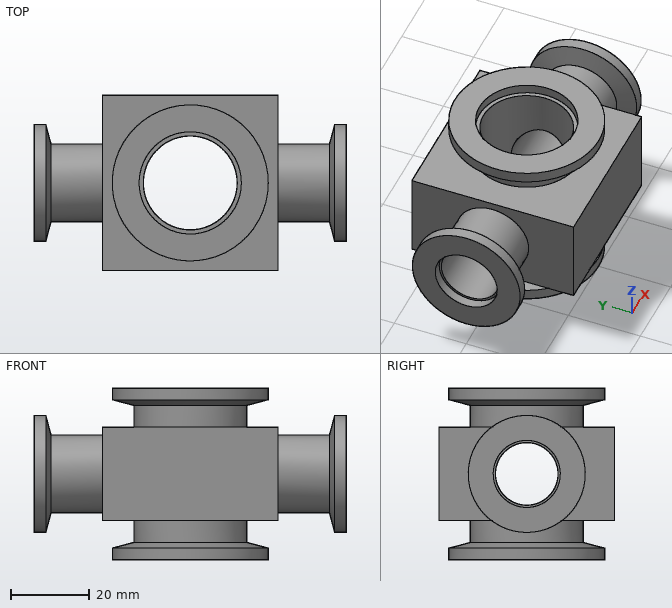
import cadquery as cq
import math

BLOCK_SIDE = 45.0
BLOCK_HEIGHT = 24.0

SPAN_X = 80.0
SPAN_Z = 44.0

RIM_THICKNESS = 3.0
RECESS_DEPTH = 2.6
TAPER_ANGLE = 15.0

LARGE_FLANGE_DIAMETER = 40.0
LARGE_NECK_DIAMETER = 29.0
LARGE_BORE_DIAMETER = 24.0
LARGE_RECESS_DIAMETER = 26.2

SMALL_FLANGE_DIAMETER = 30.0
SMALL_NECK_DIAMETER = 20.0
SMALL_BORE_DIAMETER = 16.0
SMALL_RECESS_DIAMETER = 17.2


def flanged_pipe(span, flange_diameter, neck_diameter):
    """Solid pipe along Z, centred on the origin, with a tapered flange at each end."""
    flange_radius = flange_diameter / 2
    neck_radius = neck_diameter / 2
    face = span / 2
    rim_back = face - RIM_THICKNESS
    taper_end = rim_back - (flange_radius - neck_radius) * math.tan(math.radians(TAPER_ANGLE))
    half_profile = [
        (0, 0),
        (neck_radius, 0),
        (neck_radius, taper_end),
        (flange_radius, rim_back),
        (flange_radius, face),
        (0, face),
    ]
    half = cq.Workplane("XZ").polyline(half_profile).close().revolve(360, (0, 0, 0), (0, 1, 0))
    return half.union(half.mirror("XY"))


def stepped_bore(span, bore_diameter, recess_diameter):
    """Cutter along Z: a through bore with a shallow centring recess at each end."""
    cutter = cq.Workplane("XY").circle(bore_diameter / 2).extrude(span / 2, both=True)
    recess = (
        cq.Workplane("XY")
        .workplane(offset=span / 2 - RECESS_DEPTH)
        .circle(recess_diameter / 2)
        .extrude(RECESS_DEPTH)
    )
    return cutter.union(recess).union(recess.mirror("XY"))


def turn_to_x(body):
    """Turn a body lying along Z so that it lies along X."""
    return body.rotate((0, 0, 0), (0, 1, 0), 90)


block = cq.Workplane("XY").box(BLOCK_SIDE, BLOCK_SIDE, BLOCK_HEIGHT)

large_pipe = flanged_pipe(SPAN_Z, LARGE_FLANGE_DIAMETER, LARGE_NECK_DIAMETER)
small_pipe = turn_to_x(flanged_pipe(SPAN_X, SMALL_FLANGE_DIAMETER, SMALL_NECK_DIAMETER))

large_bore = stepped_bore(SPAN_Z, LARGE_BORE_DIAMETER, LARGE_RECESS_DIAMETER)
small_bore = turn_to_x(stepped_bore(SPAN_X, SMALL_BORE_DIAMETER, SMALL_RECESS_DIAMETER))

result = block.union(large_pipe).union(small_pipe).cut(large_bore).cut(small_bore)